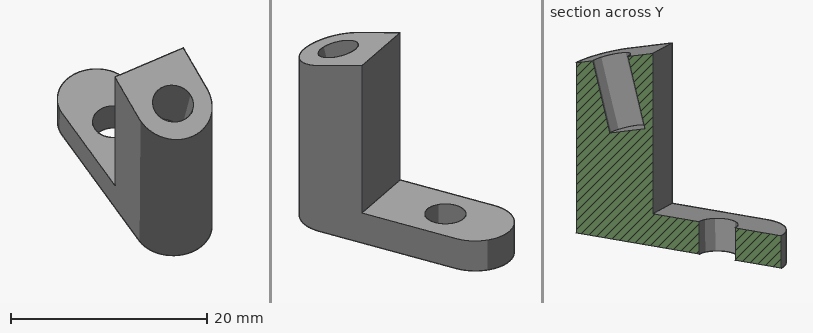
import cadquery as cq
import math

length = 24.0
width = 8.0
height = 20.66
end_radius = width / 2

base_thickness = 3.5
post_start = 15.0
top_slope = 15.0
slope_angle = math.radians(top_slope)
outer_height = height - (length - post_start) * math.tan(slope_angle)

hole_diameter = 4.2
base_hole_x = 7.5
post_hole_x = length - end_radius
post_hole_depth = 7.68


def make_bracket():
    """L-shaped side profile trimmed to a plan outline with round ends."""
    profile = (
        cq.Workplane("XZ")
        .polyline([
            (0, 0),
            (length, 0),
            (length, outer_height),
            (post_start, height),
            (post_start, base_thickness),
            (0, base_thickness),
        ])
        .close()
        .extrude(width / 2, both=True)
    )
    plan = cq.Workplane("XY").center(length / 2, 0).slot2D(length, width).extrude(height)
    return profile.intersect(plan)


def make_base_hole():
    """Vertical hole through the base."""
    return cq.Workplane("XY").center(base_hole_x, 0).circle(hole_diameter / 2).extrude(base_thickness)


def make_post_hole():
    """Flat-bottomed blind hole, square to the sloping top of the post."""
    mouth_z = height - (post_hole_x - post_start) * math.tan(slope_angle)
    top_plane = cq.Plane(
        origin=(post_hole_x, 0, mouth_z),
        xDir=(0, 1, 0),
        normal=(math.sin(slope_angle), 0, math.cos(slope_angle)),
    )
    return cq.Workplane(top_plane).circle(hole_diameter / 2).extrude(-post_hole_depth)


result = make_bracket().cut(make_base_hole()).cut(make_post_hole())